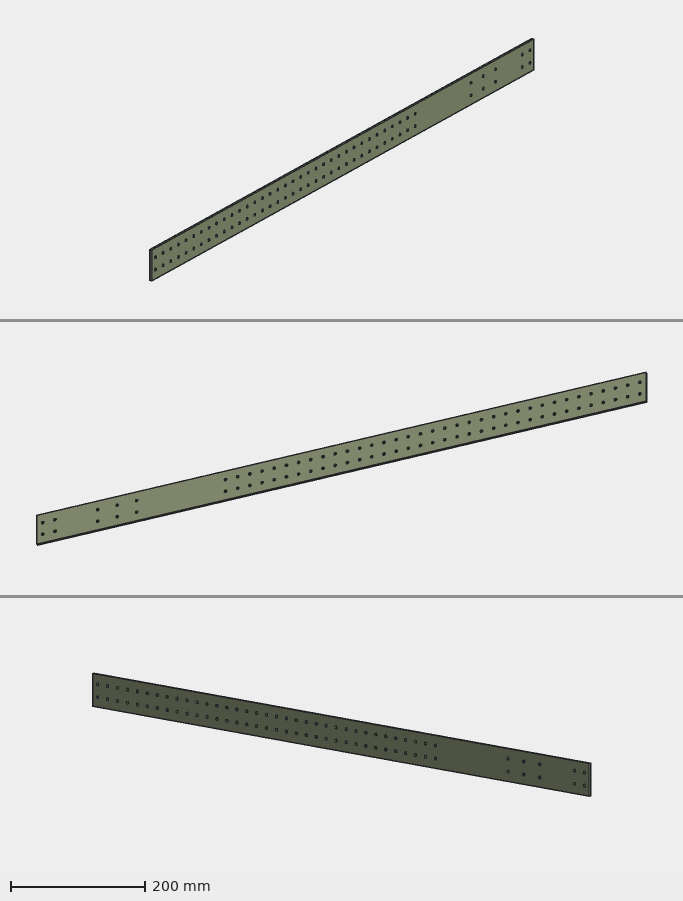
import cadquery as cq

THICKNESS = 3.81
LENGTH = 1000.0
HEIGHT = 50.0

HOLE_DIAMETER = 4.0
ROW_SPACING = 20.0
END_MARGIN = 10.0
PITCH = 20.0

LONG_GROUP_COUNT = 35
END_PAIR_COUNT = 2
TRIPLE_COUNT = 3
TRIPLE_START = 100.0
TRIPLE_PITCH = 32.0


def column_positions():
    """Y position of every hole column."""
    half_length = LENGTH / 2
    long_group = [-half_length + END_MARGIN + i * PITCH for i in range(LONG_GROUP_COUNT)]
    end_pair = [half_length - END_MARGIN - i * PITCH for i in range(END_PAIR_COUNT)]
    triple = [half_length - TRIPLE_START - i * TRIPLE_PITCH for i in range(TRIPLE_COUNT)]
    return long_group + end_pair + triple


def strip_blank():
    """Plain rectangular bar centred on the origin."""
    return cq.Workplane("XY").box(THICKNESS, LENGTH, HEIGHT)


def hole_cutters():
    """Cylinders along X, one for each hole in both rows."""
    row_heights = (-ROW_SPACING / 2, ROW_SPACING / 2)
    centres = [(y, z) for y in column_positions() for z in row_heights]
    return (
        cq.Workplane("YZ")
        .pushPoints(centres)
        .circle(HOLE_DIAMETER / 2)
        .extrude(THICKNESS, both=True)
    )


result = strip_blank().cut(hole_cutters())